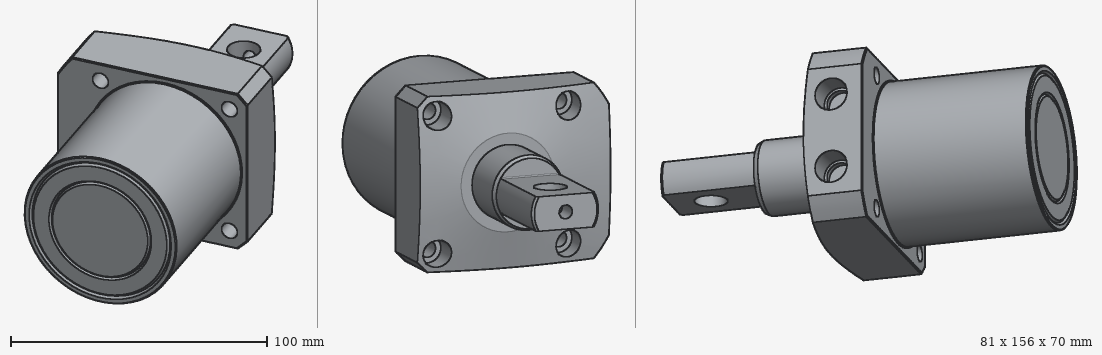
import cadquery as cq
import math


total_length = 156.0
rod_exposed = 61.8
flange_thickness = 31.2
tube_length = total_length - rod_exposed - flange_thickness
flange_front = flange_thickness
rod_tip = flange_front + rod_exposed
tube_end = -tube_length

flange_height = 70.0
flange_half = flange_height / 2
flange_width = 81.0
flange_right = flange_half
flange_left = flange_right - flange_width
port_side_radius = 52.9
plain_corner_chamfer = 4.2
flange_edge_chamfer = 0.5
front_flat_radius = 19.7
front_cone_angle = 15.0
cone_overhang = 1.5

mount_spacing = 54.9
mount_diameter = 6.7
mount_head_diameter = 11.0
mount_seat_height = 15.6

port_spacing = 30.0
port_height = 12.8
port_diameter = 13.1
port_depth = 12.0
port_core_diameter = 10.9
port_core_depth = 15.0

collar_radius = 32.9
collar_length = 0.5
tube_radius = 32.5
tube_edge_chamfer = 0.5

ring_radius = 29.3
ring_length = 10.0
ring_edge_chamfer = 1.0
ring_seat = tube_end + ring_length

shaft_radius = 15.0
rear_radius = 21.0
rear_edge_chamfer = 0.8
tang_radius = 14.0
tang_thickness = 13.7
tang_length = 38.2
tang_tip_chamfer = 1.0
tang_root_fillet = 0.5
shoulder_chamfer_length = 2.0
cross_hole_diameter = 13.1
cross_hole_from_tip = 16.4
axial_hole_diameter = 5.5
tang_root = rod_tip - tang_length


def cylinder_y(radius, y_start, y_end):
    """Solid cylinder on the Y axis between two Y positions."""
    direction = cq.Vector(0, 1, 0)
    return cq.Workplane(cq.Solid.makeCylinder(radius, y_end - y_start, cq.Vector(0, y_start, 0), direction))


def revolve_y(points):
    """Solid of revolution about the Y axis from (radius, y) points."""
    return cq.Workplane("XY").polyline(points).close().revolve(360, (0, 0, 0), (0, 1, 0))


def make_flange():
    arc_face_z = math.sqrt(port_side_radius**2 - flange_left**2)
    arc_top_x = -math.sqrt(port_side_radius**2 - flange_half**2)
    mid_angle = (math.atan2(arc_face_z, -flange_left) + math.atan2(flange_half, -arc_top_x)) / 2
    arc_mid_x = -port_side_radius * math.cos(mid_angle)
    arc_mid_z = port_side_radius * math.sin(mid_angle)
    corner_x = flange_right - plain_corner_chamfer
    corner_z = flange_half - plain_corner_chamfer

    outline = (
        cq.Workplane("XZ")
        .moveTo(flange_left, -arc_face_z)
        .lineTo(flange_left, arc_face_z)
        .threePointArc((arc_mid_x, arc_mid_z), (arc_top_x, flange_half))
        .lineTo(corner_x, flange_half)
        .lineTo(flange_right, corner_z)
        .lineTo(flange_right, -corner_z)
        .lineTo(corner_x, -flange_half)
        .lineTo(arc_top_x, -flange_half)
        .threePointArc((arc_mid_x, -arc_mid_z), (flange_left, -arc_face_z))
        .close()
    )
    plate = outline.extrude(-flange_thickness)
    plate = plate.faces("<Y").edges().chamfer(flange_edge_chamfer)

    envelope_radius = port_side_radius + cone_overhang
    cone_drop = (envelope_radius - front_flat_radius) * math.tan(math.radians(front_cone_angle))
    envelope = revolve_y([
        (0, 0),
        (envelope_radius, 0),
        (envelope_radius, flange_front - cone_drop),
        (front_flat_radius, flange_front),
        (0, flange_front),
    ])
    return plate.intersect(envelope)


def make_mount_holes():
    positions = cq.Workplane("XZ").rect(mount_spacing, mount_spacing, forConstruction=True).vertices()
    through = positions.circle(mount_diameter / 2).extrude(-flange_thickness)
    seats = (
        cq.Workplane("XZ", origin=(0, mount_seat_height, 0))
        .rect(mount_spacing, mount_spacing, forConstruction=True)
        .vertices()
        .circle(mount_head_diameter / 2)
        .extrude(mount_seat_height - flange_thickness)
    )
    return through.union(seats)


def make_port(z):
    """Stepped blind port entering the left face of the flange at height z."""
    face = cq.Workplane("YZ", origin=(flange_left, port_height, z))
    mouth = face.circle(port_diameter / 2).extrude(port_depth)
    core = face.circle(port_core_diameter / 2).extrude(port_core_depth)
    return mouth.union(core)


def make_housing():
    collar = cylinder_y(collar_radius, -collar_length, 0)
    tube = cylinder_y(tube_radius, tube_end, 0).faces("<Y").edges().chamfer(tube_edge_chamfer)
    housing = make_flange().union(collar).union(tube)

    housing = housing.cut(make_mount_holes())
    for z in (-port_spacing / 2, port_spacing / 2):
        housing = housing.cut(make_port(z))

    bore = revolve_y([
        (0, tube_end),
        (ring_radius + ring_edge_chamfer, tube_end),
        (ring_radius, tube_end + ring_edge_chamfer),
        (ring_radius, ring_seat),
        (rear_radius, ring_seat),
        (rear_radius, 0),
        (shaft_radius, 0),
        (shaft_radius, flange_front),
        (0, flange_front),
    ])
    return housing.cut(bore).solids()


def make_end_ring():
    """Ring closing the tube around the rod, chamfered on both edges of its outer face."""
    return revolve_y([
        (rear_radius + rear_edge_chamfer, tube_end),
        (ring_radius - ring_edge_chamfer, tube_end),
        (ring_radius, tube_end + ring_edge_chamfer),
        (ring_radius, ring_seat),
        (rear_radius, ring_seat),
        (rear_radius, tube_end + rear_edge_chamfer),
    ])


def make_rod():
    body = revolve_y([
        (0, tube_end),
        (rear_radius - rear_edge_chamfer, tube_end),
        (rear_radius, tube_end + rear_edge_chamfer),
        (rear_radius, 0),
        (shaft_radius, 0),
        (shaft_radius, tang_root - shoulder_chamfer_length),
        (tang_radius, tang_root),
        (tang_radius, rod_tip - tang_tip_chamfer),
        (tang_radius - tang_tip_chamfer, rod_tip),
        (0, rod_tip),
    ])

    slot_height = tang_radius
    for side in (-1, 1):
        slot = cq.Workplane("XY").box(
            2 * shaft_radius, tang_length, slot_height, centered=(True, False, True)
        )
        inner_edge = "<Z" if side > 0 else ">Z"
        slot = slot.faces("<Y").edges(inner_edge).fillet(tang_root_fillet)
        body = body.cut(slot.translate((0, tang_root, side * (tang_thickness + slot_height) / 2)))

    cross_hole_y = rod_tip - cross_hole_from_tip
    cross_hole = (
        cq.Workplane("XY", origin=(0, cross_hole_y, 0))
        .circle(cross_hole_diameter / 2)
        .extrude(tang_thickness, both=True)
    )
    axial_hole = cylinder_y(axial_hole_diameter / 2, cross_hole_y, rod_tip)
    return body.cut(cross_hole).cut(axial_hole).solids()


housing = make_housing()
end_ring = make_end_ring()
rod = make_rod()

result = cq.Compound.makeCompound([housing.val(), end_ring.val(), rod.val()])